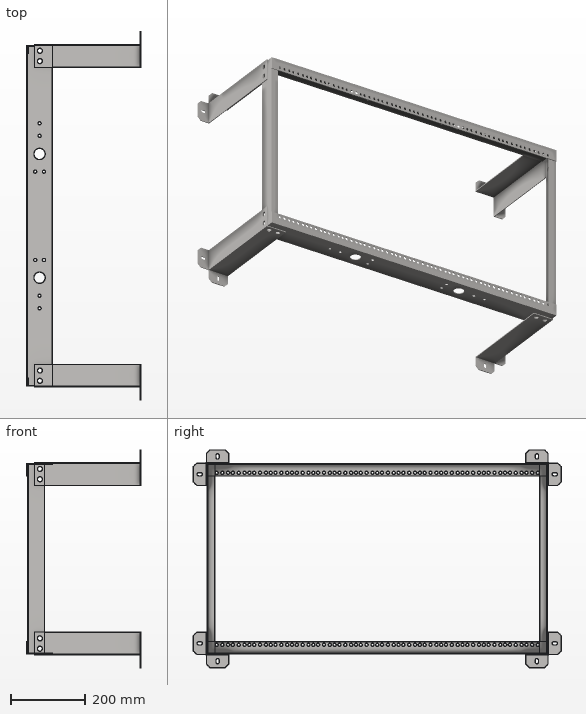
import cadquery as cq

OVERALL_DEPTH = 308.0
OVERALL_WIDTH = 995.0
OVERALL_HEIGHT = 589.0
SHEET = 2.5
DRILL_LENGTH = 4 * SHEET

BRACKET_FRONT_X = 21.0
LEG_WIDTH = 62.0
TAB_REACH = 35.0
TAB_WIDTH = 61.0
TAB_CHAMFER = 10.0
TAB_SLOT_LENGTH = 14.0
TAB_SLOT_WIDTH = 8.0
TAB_SLOT_FROM_TIP = 18.0
BRACKET_OUTER_Y = OVERALL_WIDTH / 2 - TAB_REACH
BRACKET_OUTER_Z = OVERALL_HEIGHT / 2 - TAB_REACH

BOLT_HOLE_DIAMETER = 13.0
BOLT_HOLE_X = 36.0
BOLT_HOLE_INSETS = (17.0, 45.0)

RAIL_END_Y = BRACKET_OUTER_Y - SHEET
RAIL_OUTER_Z = BRACKET_OUTER_Z - SHEET
RAIL_DEPTH = 70.0
RAIL_FRONT_HEIGHT = 34.0
RACK_HOLE_DIAMETER = 8.0
RACK_HOLE_INSET = 25.0

RACK_GROUP_COUNT = 7
RACK_GROUPS_END_Y = 403.0
RACK_GROUP_LENGTH = RACK_GROUPS_END_Y / RACK_GROUP_COUNT
RACK_SHORT_STEP = 13.0
RACK_LAST_HOLE_Y = 434.0

RAIL_HOLE_X = 35.0
CABLE_HOLE_DIAMETER = 30.0
CABLE_HOLE_Y = 167.0
SMALL_HOLE_DIAMETER = 8.0
END_HOLE_Y = 250.0
MIDDLE_HOLE_Y = 216.0
PAIR_HOLE_Y = 119.0
PAIR_HOLE_OFFSET = 12.0

POST_FRONT_X = SHEET
POST_BACK_X = 49.0
POST_FRONT_WIDTH = 22.0
POST_END_Z = RAIL_OUTER_Z - SHEET
POST_OUTER_Y = RAIL_END_Y


def box(x_range, y_range, z_range):
    """Box between a low and a high limit along each axis."""
    ranges = (x_range, y_range, z_range)
    sizes = [high - low for low, high in ranges]
    corner = tuple(low for low, high in ranges)
    return cq.Workplane("XY").box(*sizes, centered=False).translate(corner)


def drill(diameter, center, direction):
    """Cylinder along direction, centred on a point of the sheet that it pierces."""
    axis = cq.Vector(*direction)
    start = cq.Vector(*center) - axis * (DRILL_LENGTH / 2)
    return cq.Workplane(cq.Solid.makeCylinder(diameter / 2, DRILL_LENGTH, start, axis))


def cut_top_bolt_holes(body):
    """Vertical bolt holes of the bracket in the +Y, +Z corner."""
    for inset in BOLT_HOLE_INSETS:
        center = (BOLT_HOLE_X, BRACKET_OUTER_Y - inset, RAIL_OUTER_Z)
        body = body.cut(drill(BOLT_HOLE_DIAMETER, center, (0, 0, 1)))
    return body


def cut_side_bolt_holes(body):
    """Bolt holes along Y of the bracket in the +Y, +Z corner."""
    for inset in BOLT_HOLE_INSETS:
        center = (BOLT_HOLE_X, POST_OUTER_Y, BRACKET_OUTER_Z - inset)
        body = body.cut(drill(BOLT_HOLE_DIAMETER, center, (0, 1, 0)))
    return body


def make_tab():
    """Slotted tab along +Y from the origin, centred on Z = 0, with its two tip corners chamfered."""
    length = TAB_REACH + SHEET
    tab = (
        box((0, SHEET), (0, length), (-TAB_WIDTH / 2, TAB_WIDTH / 2))
        .edges("|X and >Y")
        .chamfer(TAB_CHAMFER)
    )
    slot = (
        cq.Workplane("YZ")
        .center(length - TAB_SLOT_FROM_TIP, 0)
        .slot2D(TAB_SLOT_LENGTH, TAB_SLOT_WIDTH)
        .extrude(SHEET)
    )
    return tab.cut(slot)


def make_bracket():
    """Bracket in the +Y, +Z corner."""
    length = (BRACKET_FRONT_X, OVERALL_DEPTH)
    leg_inner_y = BRACKET_OUTER_Y - LEG_WIDTH
    leg_inner_z = BRACKET_OUTER_Z - LEG_WIDTH
    top_leg = box(length, (leg_inner_y, BRACKET_OUTER_Y), (RAIL_OUTER_Z, BRACKET_OUTER_Z))
    side_leg = box(length, (POST_OUTER_Y, BRACKET_OUTER_Y), (leg_inner_z, BRACKET_OUTER_Z))

    tab_x = OVERALL_DEPTH - SHEET
    tab_center_y = leg_inner_y + TAB_WIDTH / 2
    tab_center_z = leg_inner_z + TAB_WIDTH / 2
    side_tab = make_tab().translate((tab_x, POST_OUTER_Y, tab_center_z))
    top_tab = (
        make_tab()
        .rotate((0, 0, 0), (1, 0, 0), 90)
        .translate((tab_x, tab_center_y, RAIL_OUTER_Z))
    )
    bracket = top_leg.union(side_leg).union(side_tab).union(top_tab)
    return cut_side_bolt_holes(cut_top_bolt_holes(bracket))


def rack_hole_positions():
    """Y of each rack hole beyond the middle one, on the +Y side."""
    offsets_in_group = (
        RACK_SHORT_STEP,
        RACK_GROUP_LENGTH / 2,
        RACK_GROUP_LENGTH - RACK_SHORT_STEP,
        RACK_GROUP_LENGTH,
    )
    grouped = [
        group * RACK_GROUP_LENGTH + offset
        for group in range(RACK_GROUP_COUNT)
        for offset in offsets_in_group
    ]
    return grouped + [(RACK_GROUPS_END_Y + RACK_LAST_HOLE_Y) / 2, RACK_LAST_HOLE_Y]


def cut_rack_holes(rail):
    """Row of holes through the front leg of the top rail, symmetric about a hole in its middle."""
    side_positions = rack_hole_positions()
    row_z = RAIL_OUTER_Z - RACK_HOLE_INSET
    centers = [(y, row_z) for y in [0] + side_positions + [-y for y in side_positions]]
    row = cq.Workplane("YZ").pushPoints(centers).circle(RACK_HOLE_DIAMETER / 2).extrude(SHEET)
    return rail.cut(row)


def cut_rail_leg_holes(rail):
    """Cable hole and small holes through the +Y half of the top rail's deep leg."""
    holes = (
        (RAIL_HOLE_X, CABLE_HOLE_Y, CABLE_HOLE_DIAMETER),
        (RAIL_HOLE_X, END_HOLE_Y, SMALL_HOLE_DIAMETER),
        (RAIL_HOLE_X, MIDDLE_HOLE_Y, SMALL_HOLE_DIAMETER),
        (RAIL_HOLE_X - PAIR_HOLE_OFFSET, PAIR_HOLE_Y, SMALL_HOLE_DIAMETER),
        (RAIL_HOLE_X + PAIR_HOLE_OFFSET, PAIR_HOLE_Y, SMALL_HOLE_DIAMETER),
    )
    for x, y, diameter in holes:
        rail = rail.cut(drill(diameter, (x, y, RAIL_OUTER_Z), (0, 0, 1)))
    return rail


def make_rail():
    """Top rail: its +Y half is drilled and mirrored, then the rack holes run along both halves."""
    half_length = (0, RAIL_END_Y)
    deep_leg = box((0, RAIL_DEPTH), half_length, (RAIL_OUTER_Z - SHEET, RAIL_OUTER_Z))
    front_leg = box((0, SHEET), half_length, (RAIL_OUTER_Z - RAIL_FRONT_HEIGHT, RAIL_OUTER_Z))
    half = cut_top_bolt_holes(cut_rail_leg_holes(deep_leg.union(front_leg)))
    return cut_rack_holes(half.union(half.mirror("XZ")).clean())


def make_post():
    """Post on the +Y side: its upper half is drilled and mirrored."""
    half_height = (0, POST_END_Z)
    front_leg = box(
        (POST_FRONT_X, POST_FRONT_X + SHEET),
        (POST_OUTER_Y - POST_FRONT_WIDTH, POST_OUTER_Y),
        half_height,
    )
    side_leg = box((POST_FRONT_X, POST_BACK_X), (POST_OUTER_Y - SHEET, POST_OUTER_Y), half_height)
    half = cut_side_bolt_holes(front_leg.union(side_leg))
    return half.union(half.mirror("XY")).clean()


def with_mirror(bodies, plane):
    """The bodies and their mirror images, each a separate solid."""
    return bodies + [body.mirror(plane) for body in bodies]


rails = with_mirror([make_rail()], "XY")
posts = with_mirror([make_post()], "XZ")
brackets = with_mirror(with_mirror([make_bracket()], "XY"), "XZ")

result = cq.Compound.makeCompound([body.val() for body in rails + posts + brackets])